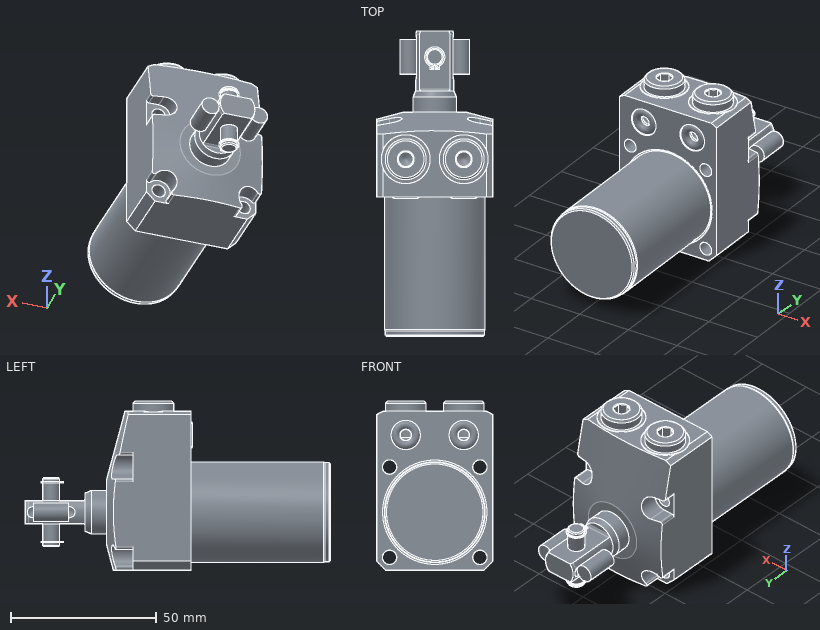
import cadquery as cq
import math


OVERALL_LENGTH = 105.0
OVERALL_HEIGHT = 58.3

BLOCK_WIDTH = 40.0
BLOCK_HALF_WIDTH = BLOCK_WIDTH / 2
BLOCK_BOTTOM = -BLOCK_HALF_WIDTH
BLOCK_TOP = 34.8
BOTTOM_CHAMFER = 3.2
TOP_CHAMFER_X = 2.2
TOP_CHAMFER_Z = 1.2
NOSE_Y = 29.2
NOSE_RADIUS = 11.0
NOSE_ANGLE = 15
NOSE_SLOPE = math.tan(math.radians(NOSE_ANGLE))
NOSE_REACH = 47.2

BARREL_RADIUS = 17.3
CAP_RADIUS = 17.1
CAP_FACE_RADIUS = 16.6
CAP_END_Y = -47.9
CAP_CHAMFER = 0.5
CAP_LENGTH = 2.3
BARREL_END_Y = CAP_END_Y + CAP_LENGTH
BARREL_CHAMFER = 0.4
COLLAR_RELIEF_RADIUS = 18.0
COLLAR_RELIEF_DEPTH = 0.4

BOLT_OFFSET = 15.5
BOLT_HOLE_RADIUS = 2.4
HEAD_RADIUS = 4.2
HEAD_SEAT_Y = 20.1
HEAD_REACH = 10.5
HEAD_MOUTH_FILLET = 0.8
LOWER_RECESS_TILT = 45
TOLERANCE = 0.0001

PORT_OFFSET = 10.0
PLUG_Y = 13.0
PLUG_RADIUS = 7.0
PLUG_TOP = BLOCK_BOTTOM + OVERALL_HEIGHT
PLUG_CHAMFER_HEIGHT = 0.8
PLUG_CHAMFER_WIDTH = 0.7
SPOT_FACE_RADIUS = 8.4
SPOT_FACE_DEPTH = 0.3
SOCKET_FLATS = 5.0
SOCKET_CORNERS = SOCKET_FLATS / math.cos(math.radians(30))
SOCKET_DEPTH = 5.2
SOCKET_CHAMFER_DEPTH = 0.3
DRILL_TIP_ANGLE = 30
DRILL_TIP_SLOPE = math.tan(math.radians(DRILL_TIP_ANGLE))

PORT_Z = 26.6
PORT_RADIUS = 2.0
CHAMBER_RADIUS = 4.2
CHAMBER_FLOOR = 25.7
CHAMBER_HEIGHT = 4.2

RING_MAJOR_RADIUS = 3.5
RING_TUBE_RADIUS = 1.6
RING_PROTRUSION = 0.5
RING_SEAT_RADIUS = RING_MAJOR_RADIUS + RING_TUBE_RADIUS
RING_SEAT_DEPTH = 2 * RING_TUBE_RADIUS - RING_PROTRUSION

ROD_DIAMETER = 15.0
ROD_RADIUS = ROD_DIAMETER / 2
TONGUE_RADIUS = 6.6
TONGUE_HALF_THICKNESS = 4.0
ROD_CONE_START_Y = 34.3
TONGUE_START_Y = 36.5
TONGUE_ROOT_FILLET = 0.6
ROD_END_Y = CAP_END_Y + OVERALL_LENGTH
ROD_END_CHAMFER_LENGTH = 1.2
ROD_END_CHAMFER_WIDTH = 0.3

PIN_Y = 48.2
PIN_RADIUS = 2.9
PIN_HALF_LENGTH = 11.9
PIN_CHAMFER = 0.4
CLIP_Z = 10.3
CLIP_THICKNESS = 0.4
CLIP_RADIUS = 3.5
CLIP_EAR_REACH = 4.3
CLIP_EAR_HALF_WIDTH = 1.6
CLIP_GAP = 0.4
CLIP_EYE_RADIUS = 0.3
CLIP_EYE_REACH = 3.7

ROLLER_RADIUS = 3.2
ROLLER_LENGTH = 12.1
ROLLER_OFFSET = 8.8
ROLLER_START_Y = PIN_Y - ROLLER_LENGTH / 2
ROLLER_END_Y = PIN_Y + ROLLER_LENGTH / 2

SIDES = (-1, 1)


def cylinder_y(x, z, radius, y_start, y_end):
    """Cylinder parallel to the Y axis."""
    return cq.Workplane(
        cq.Solid.makeCylinder(radius, y_end - y_start, cq.Vector(x, y_start, z), cq.Vector(0, 1, 0))
    )


def cylinder_z(x, y, radius, z_start, z_end):
    """Cylinder parallel to the Z axis."""
    return cq.Workplane(
        cq.Solid.makeCylinder(radius, z_end - z_start, cq.Vector(x, y, z_start), cq.Vector(0, 0, 1))
    )


def drill_tip(x, y, radius, z):
    """Cone that closes a blind hole whose straight wall ends at height z."""
    depth = radius * DRILL_TIP_SLOPE
    return cq.Workplane(
        cq.Solid.makeCone(radius, 0, depth, cq.Vector(x, y, z), cq.Vector(0, 0, -1))
    )


def turned(profile):
    """Turn a (radius, Y) profile about the Y axis."""
    return cq.Workplane("XY").polyline(profile).close().revolve(360, (0, 0, 0), (0, 1, 0))


def make_block():
    """Chamfered block whose front is a shallow cone with a flat nose."""
    half_outline = [
        (BLOCK_HALF_WIDTH - BOTTOM_CHAMFER, BLOCK_BOTTOM),
        (BLOCK_HALF_WIDTH, BLOCK_BOTTOM + BOTTOM_CHAMFER),
        (BLOCK_HALF_WIDTH, BLOCK_TOP - TOP_CHAMFER_Z),
        (BLOCK_HALF_WIDTH - TOP_CHAMFER_X, BLOCK_TOP),
    ]
    mirrored = [(-x, z) for x, z in reversed(half_outline)]
    prism = cq.Workplane("XZ").polyline(half_outline + mirrored).close().extrude(-NOSE_Y)
    cone = turned([
        (0, 0),
        (NOSE_REACH, 0),
        (NOSE_REACH, NOSE_Y - (NOSE_REACH - NOSE_RADIUS) * NOSE_SLOPE),
        (NOSE_RADIUS, NOSE_Y),
        (0, NOSE_Y),
    ])
    return prism.intersect(cone)


def make_barrel():
    """Cylinder barrel with a stepped, chamfered end; it starts at the floor of the collar relief."""
    return turned([
        (0, COLLAR_RELIEF_DEPTH),
        (BARREL_RADIUS, COLLAR_RELIEF_DEPTH),
        (BARREL_RADIUS, BARREL_END_Y),
        (CAP_RADIUS, BARREL_END_Y - BARREL_CHAMFER),
        (CAP_RADIUS, CAP_END_Y + CAP_CHAMFER),
        (CAP_FACE_RADIUS, CAP_END_Y),
        (0, CAP_END_Y),
    ])


def make_head_recess(x, z, tilt):
    """Recess for a bolt head, round inside and open outward along X turned about Y by the tilt angle."""
    depth = NOSE_Y - HEAD_SEAT_Y
    opening = cq.Workplane("XY").box(HEAD_REACH, depth, 2 * HEAD_RADIUS, centered=(False, False, True))
    recess = opening.union(cylinder_y(0, 0, HEAD_RADIUS, 0, depth))
    return recess.rotate((0, 0, 0), (0, 1, 0), tilt).translate((x, HEAD_SEAT_Y, z))


def is_recess_mouth(edge):
    """True for an edge in front of the head seats that lies on a side or on the bottom of the block."""
    center = edge.Center()
    on_side = math.isclose(abs(center.x), BLOCK_HALF_WIDTH, abs_tol=TOLERANCE)
    on_bottom = math.isclose(center.z, BLOCK_BOTTOM, abs_tol=TOLERANCE)
    return center.y > HEAD_SEAT_Y and (on_side or on_bottom)


def cut_bolt_features(block):
    """Cut the head recesses, round their mouths and drill the mounting holes."""
    for side in SIDES:
        for z, tilt in ((BOLT_OFFSET, 0), (-BOLT_OFFSET, LOWER_RECESS_TILT)):
            angle = tilt if side > 0 else 180 - tilt
            block = block.cut(make_head_recess(side * BOLT_OFFSET, z, angle))
    block = block.edges("|Y").filter(is_recess_mouth).fillet(HEAD_MOUTH_FILLET)
    for x in (-BOLT_OFFSET, BOLT_OFFSET):
        for z in (-BOLT_OFFSET, BOLT_OFFSET):
            block = block.cut(cylinder_y(x, z, BOLT_HOLE_RADIUS, 0, NOSE_Y))
    return block


def make_plug(x):
    """Round screw plug with a chamfered rim, standing on its spot face."""
    seat = BLOCK_TOP - SPOT_FACE_DEPTH
    return (
        cylinder_z(x, PLUG_Y, PLUG_RADIUS, seat, PLUG_TOP)
        .faces(">Z")
        .chamfer(PLUG_CHAMFER_HEIGHT, PLUG_CHAMFER_WIDTH)
    )


def make_socket(x):
    """Hexagon socket with a chamfered rim, a conical bottom and two corners on the Y direction."""
    hexagon = (
        cq.Workplane("XY", origin=(x, PLUG_Y, PLUG_TOP))
        .transformed(rotate=(0, 0, 30))
        .polygon(6, SOCKET_CORNERS)
        .extrude(-SOCKET_DEPTH)
    )
    rim = cq.Workplane(
        cq.Solid.makeCone(
            SOCKET_CORNERS / 2,
            SOCKET_FLATS / 2,
            SOCKET_CHAMFER_DEPTH,
            cq.Vector(x, PLUG_Y, PLUG_TOP),
            cq.Vector(0, 0, -1),
        )
    )
    return hexagon.union(rim).union(drill_tip(x, PLUG_Y, SOCKET_FLATS / 2, PLUG_TOP - SOCKET_DEPTH))


def make_oil_port(x):
    """O-ring seat and port in the mounting face, leading into the chamber below the plug."""
    seat = cylinder_y(x, PORT_Z, RING_SEAT_RADIUS, 0, RING_SEAT_DEPTH)
    port = cylinder_y(x, PORT_Z, PORT_RADIUS, 0, PLUG_Y)
    chamber = cylinder_z(x, PLUG_Y, CHAMBER_RADIUS, CHAMBER_FLOOR, CHAMBER_FLOOR + CHAMBER_HEIGHT)
    tip = drill_tip(x, PLUG_Y, CHAMBER_RADIUS, CHAMBER_FLOOR)
    return seat.union(port).union(chamber).union(tip)


def make_housing():
    """Block, barrel and screw plugs in one solid."""
    housing = cut_bolt_features(make_block())
    housing = housing.cut(cylinder_y(0, 0, COLLAR_RELIEF_RADIUS, 0, COLLAR_RELIEF_DEPTH))
    housing = housing.union(make_barrel())
    for side in SIDES:
        x = side * PORT_OFFSET
        spot_face = cylinder_z(x, PLUG_Y, SPOT_FACE_RADIUS, BLOCK_TOP - SPOT_FACE_DEPTH, BLOCK_TOP)
        housing = housing.cut(spot_face)
        housing = housing.union(make_plug(x))
        housing = housing.cut(make_socket(x))
        housing = housing.cut(make_oil_port(x))
    return housing


def make_o_ring(side):
    """O-ring resting on the floor of its seat and standing slightly proud of the mounting face."""
    center = cq.Vector(side * PORT_OFFSET, RING_TUBE_RADIUS - RING_PROTRUSION, PORT_Z)
    return cq.Solid.makeTorus(RING_MAJOR_RADIUS, RING_TUBE_RADIUS, center, cq.Vector(0, 1, 0))


def make_tongue_flat(side):
    """Material removed above or below the tongue, with a rounded root."""
    length = ROD_END_Y - TONGUE_START_Y
    return (
        cq.Workplane("XY")
        .box(2 * ROD_RADIUS, length, ROD_RADIUS, centered=(True, False, False))
        .translate((0, TONGUE_START_Y, TONGUE_HALF_THICKNESS))
        .edges("|X and <Y and <Z")
        .fillet(TONGUE_ROOT_FILLET)
        .rotate((0, 0, 0), (0, 1, 0), 90 - side * 90)
    )


def make_roller(x):
    """Round bar parallel to the rod."""
    return cylinder_y(x, 0, ROLLER_RADIUS, ROLLER_START_Y, ROLLER_END_Y)


def make_roller_pocket(x):
    """Pocket as wide as a roller, with a spherical run-out at both ends."""
    pocket = make_roller(x)
    for y in (ROLLER_START_Y, ROLLER_END_Y):
        pocket = pocket.union(cq.Workplane("XY").sphere(ROLLER_RADIUS).translate((x, y, 0)))
    return pocket


def make_piston_rod():
    """Turned rod with a flat tongue, a cross hole for the pin and a roller on each side."""
    rod = turned([
        (0, NOSE_Y),
        (ROD_RADIUS, NOSE_Y),
        (ROD_RADIUS, ROD_CONE_START_Y),
        (TONGUE_RADIUS, TONGUE_START_Y),
        (TONGUE_RADIUS, ROD_END_Y - ROD_END_CHAMFER_LENGTH),
        (TONGUE_RADIUS - ROD_END_CHAMFER_WIDTH, ROD_END_Y),
        (0, ROD_END_Y),
    ])
    for side in SIDES:
        x = side * ROLLER_OFFSET
        rod = rod.cut(make_tongue_flat(side))
        rod = rod.cut(make_roller_pocket(x)).union(make_roller(x))
    return rod.cut(cylinder_z(0, PIN_Y, PIN_RADIUS, -PIN_HALF_LENGTH, PIN_HALF_LENGTH))


def make_retaining_ring(z):
    """Retaining ring with two eyed ears that point toward the housing."""
    bottom = z - CLIP_THICKNESS / 2
    top = z + CLIP_THICKNESS / 2
    ears = (
        cq.Workplane("XY", origin=(0, PIN_Y, bottom))
        .rect(2 * CLIP_EAR_HALF_WIDTH, 2 * CLIP_EAR_REACH)
        .extrude(CLIP_THICKNESS)
        .intersect(cylinder_z(0, PIN_Y - CLIP_EAR_REACH, CLIP_EAR_REACH, bottom, top))
    )
    gap = (
        cq.Workplane("XY", origin=(0, PIN_Y - CLIP_EAR_REACH, bottom))
        .rect(CLIP_GAP, 2 * CLIP_EAR_REACH)
        .extrude(CLIP_THICKNESS)
    )
    ring = cylinder_z(0, PIN_Y, CLIP_RADIUS, bottom, top).union(ears).cut(gap)
    for side in SIDES:
        eye_x = side * (CLIP_GAP / 2 + CLIP_EAR_HALF_WIDTH) / 2
        ring = ring.cut(cylinder_z(eye_x, PIN_Y - CLIP_EYE_REACH, CLIP_EYE_RADIUS, bottom, top))
    return ring


def make_pin():
    """Chamfered cross pin that carries a retaining ring near each end."""
    pin = cylinder_z(0, PIN_Y, PIN_RADIUS, -PIN_HALF_LENGTH, PIN_HALF_LENGTH)
    pin = pin.faces("<Z or >Z").chamfer(PIN_CHAMFER)
    for side in SIDES:
        pin = pin.union(make_retaining_ring(side * CLIP_Z))
    return pin


housing = make_housing()
piston_rod = make_piston_rod()
pin = make_pin()
o_rings = [make_o_ring(side) for side in SIDES]

result = cq.Compound.makeCompound([housing.val(), piston_rod.val(), pin.val(), *o_rings])